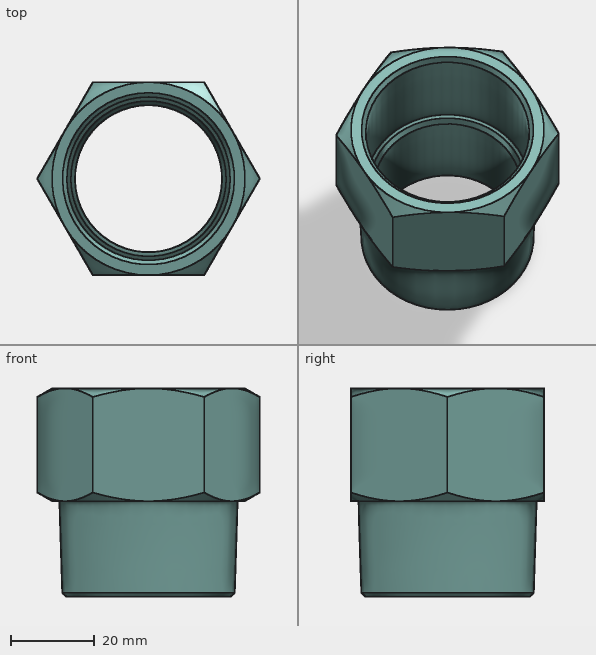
import cadquery as cq
import math

across_corners = 53.1
across_flats = across_corners * math.cos(math.radians(30))
total_height = 49.7
hex_height = 26.9
spigot_height = total_height - hex_height

corner_chamfer_angle = 30.0
corner_drop = (across_corners - across_flats) / 2 * math.tan(math.radians(corner_chamfer_angle))

spigot_top_diameter = 42.55
spigot_taper = 1 / 16
spigot_end_diameter = spigot_top_diameter - spigot_taper * spigot_height
spigot_chamfer = 1.0

through_diameter = 35.0
socket_diameter = 38.95
bore_chamfer = 1.0
socket_depth = 25.0
socket_mouth_diameter = socket_diameter + 2 * bore_chamfer
seat_diameter = through_diameter + 2 * bore_chamfer


def revolve_profile(points):
    """Turn a closed (radius, height) outline about the Z axis."""
    return cq.Workplane("YZ").polyline(points).close().revolve(360, (0, 0), (0, 1))


def make_hexagon():
    """Hexagonal body with its corners trimmed by cones at both ends."""
    prism = (
        cq.Workplane("XY")
        .workplane(offset=spigot_height)
        .polygon(6, across_corners)
        .extrude(hex_height)
    )
    envelope = revolve_profile([
        (0, spigot_height),
        (across_flats / 2, spigot_height),
        (across_corners / 2, spigot_height + corner_drop),
        (across_corners / 2, total_height - corner_drop),
        (across_flats / 2, total_height),
        (0, total_height),
    ])
    return prism.intersect(envelope)


def make_spigot():
    """Tapered spigot with a chamfered lower end."""
    chamfer_top_radius = (spigot_end_diameter + spigot_taper * spigot_chamfer) / 2
    return revolve_profile([
        (0, 0),
        (spigot_end_diameter / 2 - spigot_chamfer, 0),
        (chamfer_top_radius, spigot_chamfer),
        (spigot_top_diameter / 2, spigot_height),
        (0, spigot_height),
    ])


def make_bore():
    """Through bore, chamfered seat and wider socket with a chamfered mouth."""
    socket_floor = total_height - socket_depth
    return revolve_profile([
        (0, 0),
        (through_diameter / 2, 0),
        (through_diameter / 2, socket_floor - bore_chamfer),
        (seat_diameter / 2, socket_floor),
        (socket_diameter / 2, socket_floor),
        (socket_diameter / 2, total_height - bore_chamfer),
        (socket_mouth_diameter / 2, total_height),
        (0, total_height),
    ])


result = make_hexagon().union(make_spigot()).cut(make_bore())